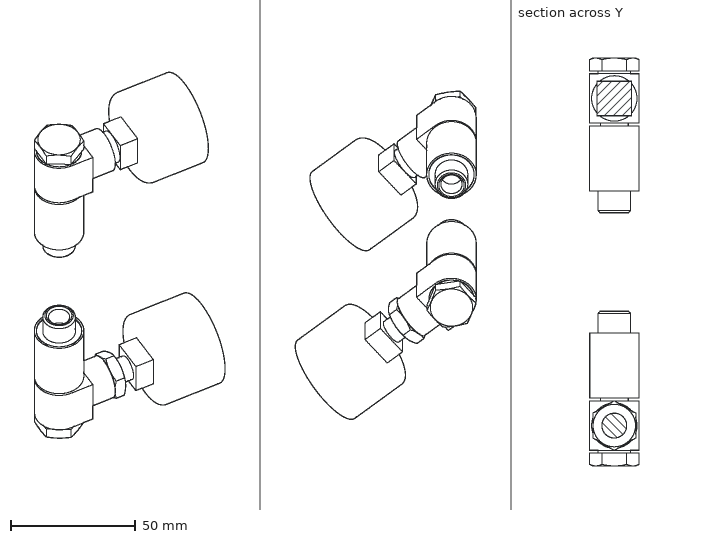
import cadquery as cq


TOTAL_HEIGHT = 170.6

GAUGE_DIAMETER = 39.0
UPPER_GAUGE_FACE_Y = 32.2
UPPER_GAUGE_LENGTH = 25.6
UPPER_GAUGE_FILLET = 3.0
UPPER_STEM_DIAMETER = 13.5
UPPER_STEM_PLAIN_LENGTH = 0
LOWER_GAUGE_FACE_Y = 39.4
LOWER_GAUGE_LENGTH = 26.1
LOWER_GAUGE_FILLET = 1.5
LOWER_STEM_DIAMETER = 10.2
LOWER_STEM_PLAIN_LENGTH = 1.9
WRENCH_BLOCK_SIDE = 14.0
WRENCH_BLOCK_LENGTH = 8.0
STEM_TAPER = 1 / 16

ELBOW_SIZE = 20.0
BOSS_DIAMETER = 18.3
BOSS_END_Y = 20.8

HEX_CORNER_DIAMETER = 20.0
CROWN_DIAMETER = 17.0
CROWN_HEIGHT = 0.7
HEAD_HEIGHT = 5.3
NUT_THICKNESS = 5.1

CLAMP_GAP = 1.0
SHANK_DIAMETER = 13.1
NECK_DIAMETER = 11.3
SEAL_RECESS_DIAMETER = 18.3
SEAL_RECESS_DEPTH = 0.5
SLEEVE_DIAMETER = 20.0
SLEEVE_LENGTH = 26.3
TIP_DIAMETER = 13.1
TIP_END_DIAMETER = 11.5
TIP_CHAMFER_LENGTH = 0.9
TIP_LENGTH = 8.7
BORE_DIAMETER = 8.5
COUNTERSINK_DIAMETER = 10.2
COUNTERSINK_DEPTH = (COUNTERSINK_DIAMETER - BORE_DIAMETER) / 2

ELBOW_TOP_Z = ELBOW_SIZE / 2
HEAD_SEAT_Z = ELBOW_TOP_Z + CLAMP_GAP
ELBOW_BOTTOM_Z = -ELBOW_TOP_Z
SLEEVE_TOP_Z = ELBOW_BOTTOM_Z - CLAMP_GAP
SLEEVE_BOTTOM_Z = SLEEVE_TOP_Z - SLEEVE_LENGTH
TIP_END_Z = SLEEVE_BOTTOM_Z - TIP_LENGTH

GAUGE_AXIS_Z = (TOTAL_HEIGHT - GAUGE_DIAMETER) / 2


def rod_along_y(diameter, start_y, end_y):
    """Round rod on the Y axis."""
    return cq.Workplane("XZ", origin=(0, start_y, 0)).circle(diameter / 2).extrude(start_y - end_y)


def rod_along_z(diameter, start_z, end_z):
    """Round rod on the Z axis."""
    return cq.Workplane("XY", origin=(0, 0, start_z)).circle(diameter / 2).extrude(end_z - start_z)


def cone_along_z(start_diameter, end_diameter, start_z, end_z):
    """Truncated cone on the Z axis."""
    start = cq.Workplane("XY", origin=(0, 0, start_z)).circle(start_diameter / 2)
    return start.workplane(offset=end_z - start_z).circle(end_diameter / 2).loft()


def crowned_hexagon(height, crowned_faces):
    """Hexagon on Z = 0 with corners on the X axis, turned off conically at the chosen end faces."""
    crown_width = (HEX_CORNER_DIAMETER - CROWN_DIAMETER) / 2
    hexagon = cq.Workplane("XY").polygon(6, HEX_CORNER_DIAMETER).extrude(height)
    envelope = rod_along_z(HEX_CORNER_DIAMETER, 0, height)
    envelope = envelope.faces(crowned_faces).edges().chamfer(CROWN_HEIGHT, crown_width)
    return hexagon.intersect(envelope)


def gauge_stem(face_y, plain_length, diameter):
    """Stem from the wrench block to the elbow boss: a plain length, then a slight taper."""
    start_y = face_y - WRENCH_BLOCK_LENGTH
    taper_y = start_y - plain_length
    end_radius = (diameter - STEM_TAPER * (taper_y - BOSS_END_Y)) / 2
    profile = cq.Workplane("XY").moveTo(0, BOSS_END_Y).lineTo(end_radius, BOSS_END_Y)
    profile = profile.lineTo(diameter / 2, taper_y)
    if plain_length > 0:
        profile = profile.lineTo(diameter / 2, start_y)
    return profile.lineTo(0, start_y).close().revolve(360, (0, 0, 0), (0, 1, 0))


def gauge(face_y, length, fillet, stem):
    """Round gauge case with its front rim filleted, a square wrench block and a stem."""
    case = rod_along_y(GAUGE_DIAMETER, face_y, face_y + length).faces("<Y").edges().fillet(fillet)
    block = cq.Workplane("XZ", origin=(0, face_y, 0)).rect(WRENCH_BLOCK_SIDE, WRENCH_BLOCK_SIDE)
    return case.union(block.extrude(WRENCH_BLOCK_LENGTH)).union(stem)


def lock_nut(stem):
    """Hexagon nut against the elbow boss, with corners up and down, bored to fit the stem."""
    nut = crowned_hexagon(NUT_THICKNESS, "|Z")
    nut = nut.rotate((0, 0, 0), (0, 0, 1), 90).rotate((0, 0, 0), (1, 0, 0), -90)
    return nut.translate((0, BOSS_END_Y, 0)).cut(stem)


def elbow():
    """Banjo elbow: half round at the front, square at the back, with a boss for the gauge."""
    ring = rod_along_z(ELBOW_SIZE, ELBOW_BOTTOM_Z, ELBOW_TOP_Z)
    back = cq.Workplane("XY").box(ELBOW_SIZE, ELBOW_SIZE / 2, ELBOW_SIZE, centered=(True, False, True))
    body = ring.union(back).union(rod_along_y(BOSS_DIAMETER, 0, BOSS_END_Y))
    body = body.cut(rod_along_z(SHANK_DIAMETER, ELBOW_BOTTOM_Z, ELBOW_TOP_Z))
    return body.cut(rod_along_z(SEAL_RECESS_DIAMETER, ELBOW_TOP_Z - SEAL_RECESS_DEPTH, ELBOW_TOP_Z))


def bolt():
    """Hexagon-headed bolt through the elbow, its thinner neck ending on the sleeve."""
    head = crowned_hexagon(HEAD_HEIGHT, ">Z").translate((0, 0, HEAD_SEAT_Z))
    shank = rod_along_z(SHANK_DIAMETER, ELBOW_BOTTOM_Z, HEAD_SEAT_Z)
    neck = rod_along_z(NECK_DIAMETER, SLEEVE_TOP_Z, ELBOW_BOTTOM_Z)
    return head.union(shank).union(neck)


def sleeve():
    """Round sleeve with a seal recess around its chamfered tip, which has a countersunk bore."""
    recess_floor_z = SLEEVE_BOTTOM_Z + SEAL_RECESS_DEPTH
    chamfer_z = TIP_END_Z + TIP_CHAMFER_LENGTH
    countersink_z = TIP_END_Z + COUNTERSINK_DEPTH
    body = rod_along_z(SLEEVE_DIAMETER, SLEEVE_BOTTOM_Z, SLEEVE_TOP_Z)
    body = body.cut(rod_along_z(SEAL_RECESS_DIAMETER, SLEEVE_BOTTOM_Z, recess_floor_z))
    body = body.union(rod_along_z(TIP_DIAMETER, chamfer_z, recess_floor_z))
    body = body.union(cone_along_z(TIP_END_DIAMETER, TIP_DIAMETER, TIP_END_Z, chamfer_z))
    body = body.cut(rod_along_z(BORE_DIAMETER, TIP_END_Z, SLEEVE_BOTTOM_Z))
    return body.cut(cone_along_z(COUNTERSINK_DIAMETER, BORE_DIAMETER, TIP_END_Z, countersink_z))


upper_stem = gauge_stem(UPPER_GAUGE_FACE_Y, UPPER_STEM_PLAIN_LENGTH, UPPER_STEM_DIAMETER)
lower_stem = gauge_stem(LOWER_GAUGE_FACE_Y, LOWER_STEM_PLAIN_LENGTH, LOWER_STEM_DIAMETER)
upper_gauge = gauge(UPPER_GAUGE_FACE_Y, UPPER_GAUGE_LENGTH, UPPER_GAUGE_FILLET, upper_stem)
lower_gauge = gauge(LOWER_GAUGE_FACE_Y, LOWER_GAUGE_LENGTH, LOWER_GAUGE_FILLET, lower_stem)
nut = lock_nut(lower_stem)

bodies = [
    upper_gauge.translate((0, 0, GAUGE_AXIS_Z)).val(),
    lower_gauge.translate((0, 0, -GAUGE_AXIS_Z)).val(),
    nut.translate((0, 0, -GAUGE_AXIS_Z)).val(),
]

for axis_z, turn in ((GAUGE_AXIS_Z, 0), (-GAUGE_AXIS_Z, 180)):
    for part in (elbow(), bolt(), sleeve()):
        placed = part.rotate((0, 0, 0), (0, 1, 0), turn).translate((0, 0, axis_z))
        bodies.append(placed.val())

result = cq.Compound.makeCompound(bodies)